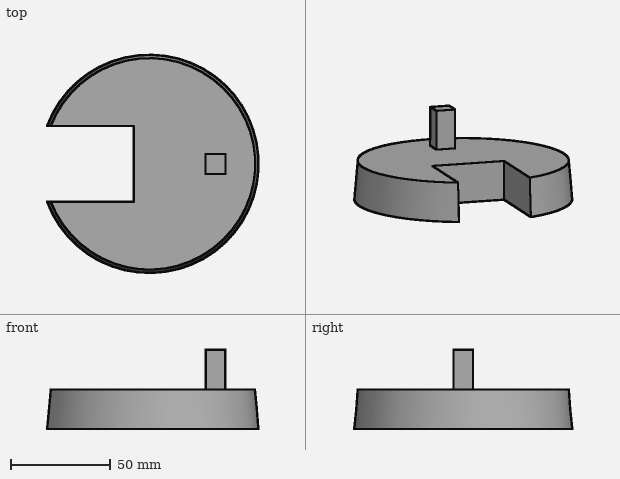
import cadquery as cq
import math

base_radius = 55.0
base_height = 20.0
draft_angle = 5.0
top_radius = base_radius - base_height * math.tan(math.radians(draft_angle))

slot_width = 38.0
slot_end_x = -8.0

post_side = 10.0
post_height = 20.0
post_center_x = 33.25


def make_base():
    """Tapered disc centred on the Z axis, standing on Z = 0."""
    return cq.Workplane(cq.Solid.makeCone(base_radius, top_radius, base_height))


def make_slot():
    """Full-height cutter running from the slot's end wall out past the -X rim."""
    slot_length = base_radius + slot_end_x
    return (
        cq.Workplane("XY")
        .center(slot_end_x - slot_length / 2, 0)
        .rect(slot_length, slot_width)
        .extrude(base_height)
    )


def make_post():
    """Square post rising from the top face."""
    return (
        cq.Workplane("XY", origin=(post_center_x, 0, base_height))
        .rect(post_side, post_side)
        .extrude(post_height)
    )


result = make_base().cut(make_slot()).union(make_post())